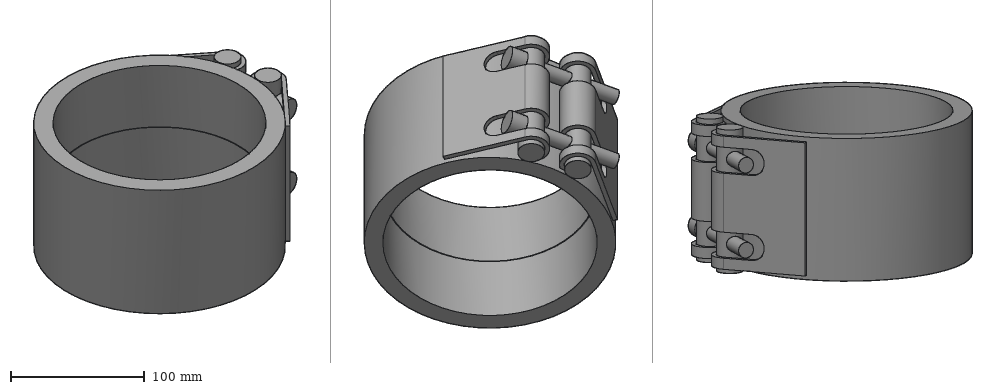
import cadquery as cq
import math

SLEEVE_DIAMETER = 188.0
SLEEVE_HEIGHT = 109.5
UPPER_BORE_DIAMETER = 159.0
LOWER_BORE_DIAMETER = 160.0
sleeve_radius = SLEEVE_DIAMETER / 2

PIN_DIAMETER = 20.0
PIN_LENGTH = 110.0
PIN_X = 19.7
PIN_Y = 102.3

STRAP_THICKNESS = 3.5
HOOK_CLEARANCE = 0.2
STRAP_HEIGHT = 102.0
STRAP_OVERRUN = 3.2
SEAT_DEPTH = 0.6
HOOK_END_SETBACK = math.radians(10)
WINDOW_WIDTH = 20.0
WINDOW_REACH = 22.5
hook_inner_radius = PIN_DIAMETER / 2 + HOOK_CLEARANCE
hook_radius = hook_inner_radius + STRAP_THICKNESS

BOLT_DIAMETER = 12.0
BOLT_PITCH = 65.0
BOLT_TAIL_X = -51.7
HEAD_DIAMETER = 18.0
HEAD_START_X = 27.3
HEAD_END_X = 40.3
bolt_heights = (-BOLT_PITCH / 2, BOLT_PITCH / 2)

pin_distance = math.hypot(PIN_X, PIN_Y)
pin_angle = math.atan2(PIN_Y, -PIN_X)
strap_angle = pin_angle + math.acos((sleeve_radius - hook_inner_radius) / pin_distance)
strap_normal = cq.Vector(math.cos(strap_angle), math.sin(strap_angle), 0)
strap_direction = cq.Vector(math.sin(strap_angle), -math.cos(strap_angle), 0)
left_pin_axis = cq.Vector(-PIN_X, PIN_Y, 0)


def vertical_cylinder(diameter, bottom, top):
    return cq.Workplane("XY", origin=(0, 0, bottom)).circle(diameter / 2).extrude(top - bottom)


def crosswise_cylinder(diameter, height, start_x, end_x):
    plane = cq.Workplane("YZ", origin=(start_x, PIN_Y, height))
    return plane.circle(diameter / 2).extrude(end_x - start_x)


def hook_point(radius, angle):
    """Point at a distance and direction from the left pin axis."""
    return (radius * math.cos(angle) - PIN_X, radius * math.sin(angle) + PIN_Y)


def make_strap():
    """Left strap: sunk end, flat tangent stretch, and hook that ends in the sleeve wall."""
    touch_point = strap_normal * sleeve_radius
    inner_end = touch_point - strap_direction * STRAP_OVERRUN
    outer_end = inner_end + strap_normal * STRAP_THICKNESS
    seat_end = inner_end - strap_normal * SEAT_DEPTH
    seat_start = touch_point - strap_normal * SEAT_DEPTH

    hook_end_angle = pin_angle - math.pi + HOOK_END_SETBACK
    hook_middle_angle = (strap_angle + hook_end_angle) / 2
    outline = (
        cq.Workplane("XY", origin=(0, 0, -STRAP_HEIGHT / 2))
        .moveTo(seat_end.x, seat_end.y)
        .lineTo(outer_end.x, outer_end.y)
        .lineTo(*hook_point(hook_radius, strap_angle))
        .threePointArc(
            hook_point(hook_radius, hook_middle_angle),
            hook_point(hook_radius, hook_end_angle),
        )
        .lineTo(*hook_point(hook_inner_radius, hook_end_angle))
        .threePointArc(
            hook_point(hook_inner_radius, hook_middle_angle),
            hook_point(hook_inner_radius, strap_angle),
        )
        .lineTo(touch_point.x, touch_point.y)
        .lineTo(seat_start.x, seat_start.y)
        .close()
    )
    return outline.extrude(STRAP_HEIGHT)


def make_window(height):
    """Round-ended opening for one bolt, square to the strap and open through the hook."""
    round_end = left_pin_axis - strap_direction * WINDOW_REACH
    length = WINDOW_REACH + 2 * hook_radius
    plane = cq.Plane(
        origin=(round_end.x, round_end.y, height),
        xDir=strap_direction.toTuple(),
        normal=strap_normal.toTuple(),
    )
    straight = cq.Workplane(plane).center(length / 2, 0).rect(length, WINDOW_WIDTH)
    round_part = cq.Workplane(plane).circle(WINDOW_WIDTH / 2)
    depth = 2 * hook_radius
    return straight.extrude(depth, both=True).union(round_part.extrude(depth, both=True))


def make_lug():
    lug = make_strap()
    for height in bolt_heights:
        lug = lug.cut(make_window(height))
    return lug


def make_housing():
    """Sleeve with a stepped bore and a lug on either side of the clamp."""
    half_height = SLEEVE_HEIGHT / 2
    lug = make_lug()
    housing = vertical_cylinder(SLEEVE_DIAMETER, -half_height, half_height)
    housing = housing.union(lug).union(lug.mirror("YZ"))
    housing = housing.cut(vertical_cylinder(LOWER_BORE_DIAMETER, -half_height, 0))
    return housing.cut(vertical_cylinder(UPPER_BORE_DIAMETER, 0, half_height))


def make_tightener():
    """Both pins joined by the bolts that pass through them."""
    half_length = PIN_LENGTH / 2
    pin = vertical_cylinder(PIN_DIAMETER, -half_length, half_length)
    tightener = pin.translate((-PIN_X, PIN_Y, 0)).union(pin.translate((PIN_X, PIN_Y, 0)))
    for height in bolt_heights:
        shank = crosswise_cylinder(BOLT_DIAMETER, height, BOLT_TAIL_X, HEAD_START_X)
        head = crosswise_cylinder(HEAD_DIAMETER, height, HEAD_START_X, HEAD_END_X)
        tightener = tightener.union(shank).union(head)
    return tightener


housing = make_housing()
tightener = make_tightener()
result = cq.Compound.makeCompound([housing.val(), tightener.val()])